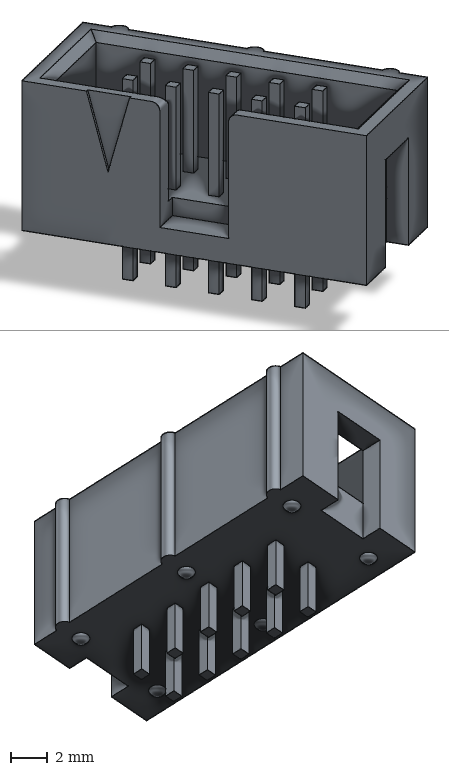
import cadquery as cq


length = 20.32
width = 8.84
height = 8.88
end_wall = 1.28
side_wall = 1.24
floor_height = 2.56
lead_in = 0.5

notch_width = 4.05
notch_depth = 1.8
notch_bottom = 1.48
notch_round = 0.5

slot_width = 3.3
slot_height = 6.35

columns = 5
rows = 2
pitch = 2.55
pin_size = 0.63
pin_below = 3.23
pin_top_gap = 0.22

bump_spacing = 7.99
rib_radius = 0.5
rib_height = 0.39
foot_radius = 0.53
foot_height = 0.33
foot_edge_inset = 1.4

mark_width = 2.55
mark_height = 4.6
mark_depth = 0.18

front_y = -width / 2
back_y = width / 2
bump_xs = [-bump_spacing, 0, bump_spacing]


def centred_positions(count):
    """Positions of evenly pitched pins centred on zero."""
    return [(i - (count - 1) / 2) * pitch for i in range(count)]


def block(size_x, size_y, z_low, z_high, x=0, y=0):
    """Box centred at (x, y) that spans z_low to z_high."""
    return (
        cq.Workplane("XY", origin=(x, y, z_low))
        .rect(size_x, size_y)
        .extrude(z_high - z_low)
    )


def cavity():
    """Open pocket above the floor, flared at the rim."""
    inner_length = length - 2 * end_wall
    inner_width = width - 2 * side_wall
    flare = (
        cq.Workplane("XY", origin=(0, 0, height - lead_in))
        .rect(inner_length, inner_width)
        .workplane(offset=lead_in)
        .rect(inner_length + 2 * lead_in, inner_width + 2 * lead_in)
        .loft(ruled=True)
    )
    return block(inner_length, inner_width, floor_height, height).union(flare)


def keying_notch():
    """Notch through the front wall and into the floor, with rounded upper corners."""
    half = notch_width / 2
    shoulder = height - notch_round
    mouth = (
        cq.Workplane("XZ", origin=(0, front_y, 0))
        .moveTo(-half, shoulder)
        .radiusArc((-half - notch_round, height), -notch_round)
        .lineTo(half + notch_round, height)
        .radiusArc((half, shoulder), -notch_round)
        .close()
        .extrude(-notch_depth)
    )
    channel = block(notch_width, notch_depth, notch_bottom, height, y=front_y + notch_depth / 2)
    return channel.union(mouth)


def end_slot(side):
    """Slot rising from the underside through one end wall."""
    return block(end_wall, slot_width, 0, slot_height, x=side * (length - end_wall) / 2)


def pin_one_mark():
    """Shallow triangle pointing down at the first column."""
    mark_x = centred_positions(columns)[0]
    return (
        cq.Workplane("XZ", origin=(mark_x, front_y, 0))
        .moveTo(-mark_width / 2, height)
        .lineTo(mark_width / 2, height)
        .lineTo(0, height - mark_height)
        .close()
        .extrude(-mark_depth)
    )


def back_rib(x):
    """Full-height round rib, partly sunk in the back wall."""
    centre_y = back_y + rib_height - rib_radius
    return cq.Workplane("XY", origin=(x, centre_y, 0)).circle(rib_radius).extrude(height)


def foot(x, y):
    """Ball partly sunk in the underside, leaving a shallow dome."""
    return cq.Workplane("XY", origin=(x, y, foot_radius - foot_height)).sphere(foot_radius)


def pin(x, y):
    """Square pin passing through the floor."""
    return block(pin_size, pin_size, -pin_below, height - pin_top_gap, x, y)


result = block(length, width, 0, height)
result = result.cut(cavity()).cut(keying_notch()).cut(pin_one_mark())

for side in (-1, 1):
    result = result.cut(end_slot(side))

foot_y = width / 2 - foot_edge_inset
for x in bump_xs:
    result = result.union(back_rib(x))
    for y in (-foot_y, foot_y):
        result = result.union(foot(x, y))

for x in centred_positions(columns):
    for y in centred_positions(rows):
        result = result.union(pin(x, y))